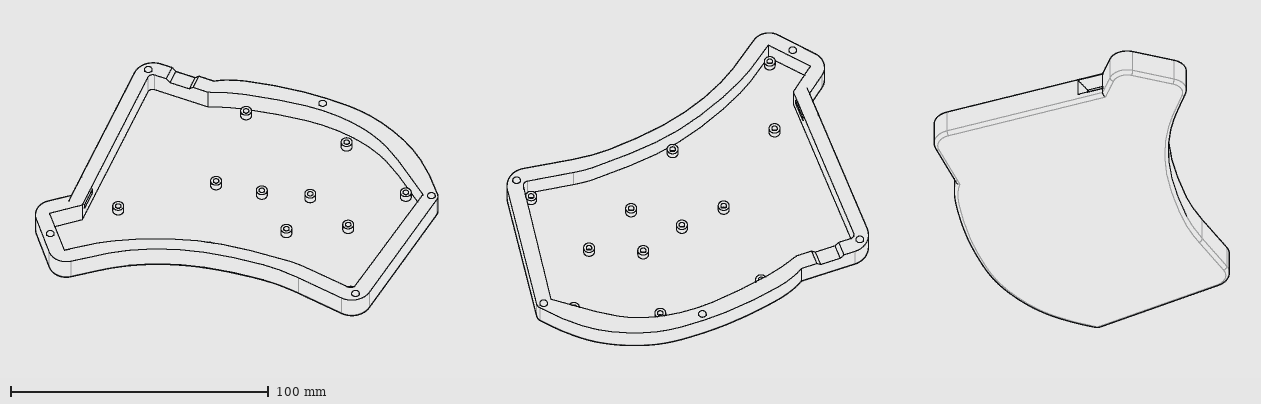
import cadquery as cq

tray_height = 11.0
floor_thickness = 1.5
bottom_edge_radius = 1.4

thumb_radius = 7.0
main_radius = 8.0
tip_radius = 2.8
cavity_radius = 2.0

left_x = 9.8
left_elbow = (left_x, 31.4)
thumb_corner = (-3.0, 21.0)
bottom_corner = (16.5, -2.7)
bottom_curve_end = (106.5, 27.3)
heel_corner = (133.6, 23.3)
tip_corner = (142.0, 84.4)
shoulder = (39.9, 104.0)
top_left_corner = (left_x, shoulder[1])
bottom_curve = [(25.5, 4.4), (35.5, 11.8), (48.3, 18.7), (65.3, 24.4), (85.2, 27.5)]
top_curve = [
    (45.5, 106.8), (56.8, 109.8), (69.6, 111.8), (86.6, 112.6),
    (100.8, 111.5), (113.6, 107.5), (125.0, 101.4), (133.5, 94.2),
]

cavity_left_x = 15.5
cavity_elbow = (cavity_left_x, 28.5)
cavity_thumb_corner = (5.3, 20.0)
cavity_bottom_corner = (17.3, 5.5)
cavity_curve_end = (108.0, 33.0)
cavity_heel_corner = (128.1, 30.1)
cavity_tip_corner = (135.9, 83.2)
cavity_shoulder = (39.8, 98.0)
cavity_top_left_corner = (cavity_left_x, cavity_shoulder[1])
cavity_bottom_curve = [
    (25.5, 12.0), (36.9, 18.9), (48.3, 24.1),
    (63.9, 29.4), (78.1, 32.0), (93.7, 33.2),
]
cavity_top_curve = [
    (51.1, 101.8), (63.9, 104.4), (83.8, 106.5),
    (98.0, 105.2), (110.8, 101.1), (120.7, 95.0),
]

standoff_diameter = 4.3
standoff_hole_diameter = 2.1
standoff_height = 3.0
standoff_centers = [
    (55.1, 99.7), (97.0, 100.3), (127.5, 86.2),
    (93.5, 71.6), (75.4, 66.0), (57.2, 63.6), (112.8, 63.2), (91.3, 52.3),
    (26.7, 37.9), (67.0, 33.0), (125.8, 33.7), (18.0, 9.1),
]

screw_hole_diameter = 3.0
screw_centers = [(14.2, 99.5), (83.1, 109.8), (139.2, 84.0), (130.0, 28.5), (9.2, 11.0)]

notch_center_x = 28.0
notch_top_length = 11.2
notch_taper = 1.5
notch_bottom_length = notch_top_length - 2 * notch_taper
notch_depth = 1.7

opening_center_y = 35.1
opening_center_z = 7.1
recess_length = 13.0
recess_height = 7.1
recess_taper = 2.4
recess_depth = 4.3
slot_length = recess_length - 2 * recess_taper
slot_height = recess_height - 2 * recess_taper


def outline(
    base_z, elbow, thumb, bottom, lower_curve, curve_end,
    heel, tip, upper_curve, shoulder_point, top_left,
):
    """Closed wire around the tray, running counterclockwise from the left elbow."""
    end_direction = (heel[0] - curve_end[0], heel[1] - curve_end[1])
    start_direction = (lower_curve[0][0] - bottom[0], lower_curve[0][1] - bottom[1])
    return (
        cq.Workplane("XY", origin=(0, 0, base_z))
        .moveTo(*elbow)
        .lineTo(*thumb)
        .lineTo(*bottom)
        .spline(lower_curve + [curve_end], tangents=[start_direction, end_direction], includeCurrent=True)
        .lineTo(*heel)
        .lineTo(*tip)
        .spline(upper_curve[::-1] + [shoulder_point], includeCurrent=True)
        .lineTo(*top_left)
        .close()
    )


def round_corner(body, corner, radius):
    """Round the vertical edge that stands on the given corner point."""
    reach = 0.1
    near_corner = cq.selectors.BoxSelector(
        (corner[0] - reach, corner[1] - reach, 0),
        (corner[0] + reach, corner[1] + reach, 2 * tray_height),
    )
    return body.edges("|Z").edges(near_corner).fillet(radius)


def make_body():
    body = outline(
        0, left_elbow, thumb_corner, bottom_corner, bottom_curve, bottom_curve_end,
        heel_corner, tip_corner, top_curve, shoulder, top_left_corner,
    ).extrude(tray_height)
    for corner in (thumb_corner, bottom_corner):
        body = round_corner(body, corner, thumb_radius)
    for corner in (heel_corner, top_left_corner):
        body = round_corner(body, corner, main_radius)
    body = round_corner(body, tip_corner, tip_radius)
    return body.faces("<Z").edges().fillet(bottom_edge_radius)


def make_cavity():
    cavity = outline(
        floor_thickness, cavity_elbow, cavity_thumb_corner, cavity_bottom_corner, cavity_bottom_curve,
        cavity_curve_end, cavity_heel_corner, cavity_tip_corner, cavity_top_curve,
        cavity_shoulder, cavity_top_left_corner,
    ).extrude(tray_height - floor_thickness)
    for corner in (cavity_heel_corner, cavity_top_left_corner):
        cavity = round_corner(cavity, corner, cavity_radius)
    return cavity


def make_standoffs():
    return (
        cq.Workplane("XY", origin=(0, 0, floor_thickness))
        .pushPoints(standoff_centers)
        .circle(standoff_diameter / 2)
        .circle(standoff_hole_diameter / 2)
        .extrude(standoff_height)
    )


def make_screw_holes():
    return (
        cq.Workplane("XY", origin=(0, 0, floor_thickness))
        .pushPoints(screw_centers)
        .circle(screw_hole_diameter / 2)
        .extrude(tray_height - floor_thickness)
    )


def make_notch():
    middle_y = (shoulder[1] + cavity_shoulder[1]) / 2
    rim_width = shoulder[1] - cavity_shoulder[1]
    return (
        cq.Workplane("XZ", origin=(notch_center_x, middle_y, tray_height))
        .moveTo(-notch_top_length / 2, 0)
        .lineTo(notch_top_length / 2, 0)
        .lineTo(notch_bottom_length / 2, -notch_depth)
        .lineTo(-notch_bottom_length / 2, -notch_depth)
        .close()
        .extrude(rim_width, both=True)
    )


def make_switch_opening():
    wall_plane = cq.Workplane("YZ", origin=(left_x, opening_center_y, opening_center_z))
    recess = (
        wall_plane.rect(recess_length, recess_height)
        .workplane(offset=recess_depth)
        .rect(slot_length, slot_height)
        .loft(ruled=True)
    )
    slot = wall_plane.rect(slot_length, slot_height).extrude(cavity_left_x - left_x)
    return recess.union(slot)


result = (
    make_body()
    .cut(make_cavity())
    .cut(make_screw_holes())
    .cut(make_notch())
    .cut(make_switch_opening())
    .union(make_standoffs())
)